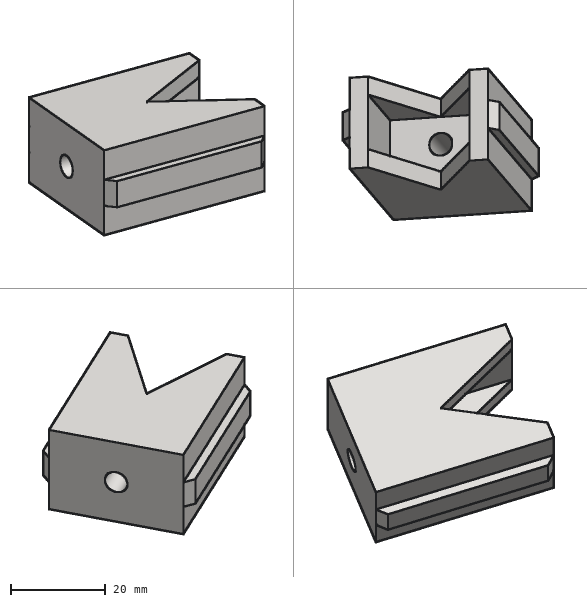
import cadquery as cq

body_width = 30.0
length = 40.0
height = 20.0

rail_depth = 2.0
rail_height = 6.15
rail_chamfer = rail_depth

notch_depth = 20.0
prong_tip_width = 4.0
notch_half_width = body_width / 2 - prong_tip_width

lip_thickness = 4.0
pocket_height = height - 2 * lip_thickness

hole_diameter = 5.0


def make_body():
    return cq.Workplane("XY").box(body_width, length, height)


def make_rails():
    """Bar across the block whose two protruding edges form the side rails."""
    bar = cq.Workplane("XY").box(body_width + 2 * rail_depth, length, rail_height)
    return bar.edges("|Z").chamfer(rail_chamfer)


def make_notch():
    open_end = length / 2
    outline = [
        (-notch_half_width, open_end),
        (notch_half_width, open_end),
        (0, open_end - notch_depth),
    ]
    return cq.Workplane("XY").polyline(outline).close().extrude(height / 2, both=True)


def make_pocket():
    pocket = cq.Workplane("XY").box(2 * notch_half_width, notch_depth, pocket_height)
    return pocket.translate((0, (length - notch_depth) / 2, 0))


def make_hole():
    return cq.Workplane("XZ").circle(hole_diameter / 2).extrude(length / 2, both=True)


block = make_body().union(make_rails())
result = block.cut(make_notch()).cut(make_pocket()).cut(make_hole())